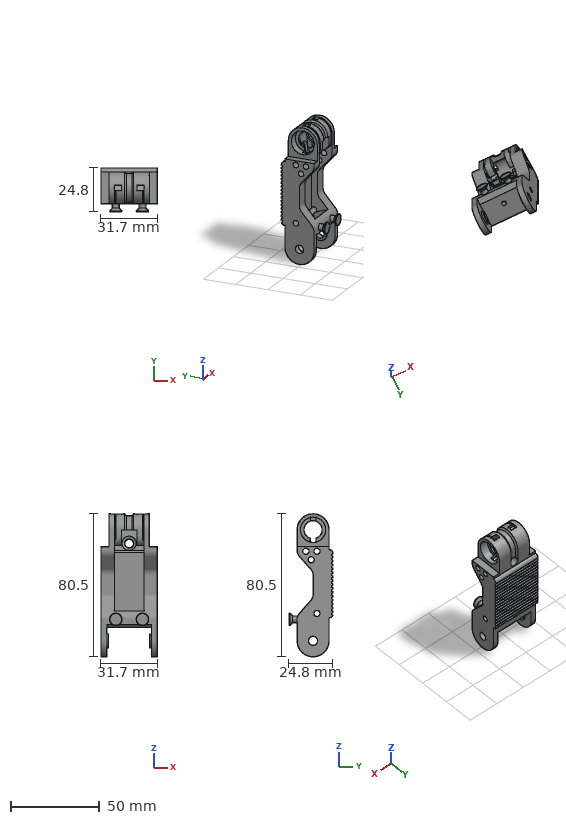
import cadquery as cq
import math

total_height = 80.5
end_radius = 9.0
body_half_width = 15.85
lower_axis_z = end_radius
upper_axis_z = total_height - end_radius
over = 1.6

waist_y = 0.0
lower_slope_z = (22.95, 33.25)
upper_slope_z = (47.8, 57.9)
outline_fillet = 5.0

pad_y = 11.3
pad_bottom_z = 21.9
pad_top_z = 60.4
pad_fillet = pad_y - end_radius
notch_count = 16
notch_diameter = 1.5
lowest_notch_z = 24.2
highest_notch_z = 57.2

knuckle_half_width = 11.35
shoulder_z = 62.0
bore_diameter = 10.1
counterbore_diameter = 14.2
key_width = 3.05
counterbore_floor_x = 6.0
rope_groove_half_width = 2.6
rope_groove_floor_half = 1.6
rope_groove_depth = 1.05
wire_groove_depth = 0.5

pocket_half_width = 8.4
pocket_back_y = 3.7
pocket_floor_front = (-6.4, 25.9)
pocket_floor_back = (1.2, 23.0)
pocket_corner_z = 25.1
ramp_bottom_z = 59.2
ramp_top_y = bore_diameter / 2
ramp_top_z = 70.9
block_bottom_z = 62.55
block_fillet = 5.0
mouth_half_width = 4.4

cord_hole_z = 63.9
cord_hole_diameter = 5.0
countersink_diameter = 8.0
countersink_depth = 0.65

fork_half_gap = 12.5
web_front_z = 18.1
web_back_z = 16.4
web_front_run = 3.3
pivot_hole_diameter = 5.0
boss_diameter = 8.0
boss_height = 1.0

pin_hole_diameter = 3.3
upper_pin_holes = [(2.2, 59.4), (-4.0, 59.4), (-1.05, 54.6)]
lower_pin_hole = (2.2, 24.4)
floor_hole_diameter = 2.65
floor_hole_y = -0.25

stud_x = 7.5
stud_z = 21.1
stud_diameter = 4.0
stud_head_diameter = 7.1
stud_neck_y = -11.4
stud_rim_y = -13.0
stud_end_y = -13.45
stud_rim_inset = 0.25


def extrude_x(sketch, half_width):
    """Extrude a closed YZ sketch evenly to both sides of x = 0."""
    return sketch.extrude(half_width, both=True)


def rod_x(y, z, diameter, x_start, x_end):
    plane = cq.Workplane("YZ", origin=(x_start, 0, 0))
    return plane.center(y, z).circle(diameter / 2).extrude(x_end - x_start)


def box_between(x_range, y_range, z_range):
    size = [b - a for a, b in (x_range, y_range, z_range)]
    corner = (x_range[0], y_range[0], z_range[0])
    return cq.Workplane("XY").box(*size, centered=False).translate(corner)


def mirrored(shape):
    return shape.union(shape.mirror("YZ"))


def make_body():
    front = -end_radius
    outline = (
        cq.Workplane("YZ")
        .moveTo(front, lower_axis_z)
        .lineTo(front, lower_slope_z[0])
        .lineTo(waist_y, lower_slope_z[1])
        .lineTo(waist_y, upper_slope_z[0])
        .lineTo(front, upper_slope_z[1])
        .lineTo(front, upper_axis_z)
        .threePointArc((0, total_height), (end_radius, upper_axis_z))
        .lineTo(end_radius, lower_axis_z)
        .threePointArc((0, 0), (front, lower_axis_z))
        .close()
    )
    body = extrude_x(outline, body_half_width)
    corners = [
        (front, lower_slope_z[0]),
        (waist_y, lower_slope_z[1]),
        (waist_y, upper_slope_z[0]),
        (front, upper_slope_z[1]),
    ]
    for y, z in corners:
        corner_edge = cq.selectors.NearestToPointSelector((0, y, z))
        body = body.edges(corner_edge).fillet(outline_fillet)
    shoulder = box_between(
        (knuckle_half_width, body_half_width + over),
        (front - over, end_radius + over),
        (shoulder_z, total_height + over),
    )
    return body.cut(mirrored(shoulder))


def make_grip_pad():
    pad = box_between(
        (-body_half_width, body_half_width),
        (end_radius - over, pad_y),
        (pad_bottom_z, pad_top_z),
    )
    pad = pad.edges("|X and >Y").fillet(pad_fillet)
    notch_pitch = (highest_notch_z - lowest_notch_z) / (notch_count - 1)
    for i in range(notch_count):
        notch_z = lowest_notch_z + i * notch_pitch
        pad = pad.cut(rod_x(pad_y, notch_z, notch_diameter, -body_half_width, body_half_width))
    return pad


def make_fork_gap():
    y_outer = end_radius + over
    web_slope = (web_front_z - web_back_z) / web_front_run
    gap = (
        cq.Workplane("YZ")
        .moveTo(-y_outer, -over)
        .lineTo(-y_outer, web_front_z + web_slope * over)
        .lineTo(web_front_run - end_radius, web_back_z)
        .lineTo(y_outer, web_back_z)
        .lineTo(y_outer, -over)
        .close()
    )
    return extrude_x(gap, fork_half_gap)


def ramp_y(z):
    """Y of the leaning ramp face above the pocket back wall."""
    share = (z - ramp_bottom_z) / (ramp_top_z - ramp_bottom_z)
    return pocket_back_y + share * (ramp_top_y - pocket_back_y)


def make_pocket():
    y_outer = -end_radius - over
    floor_front_y, floor_front_z = pocket_floor_front
    floor_back_y, floor_back_z = pocket_floor_back
    floor_slope = (floor_back_z - floor_front_z) / (floor_back_y - floor_front_y)
    floor_outer_z = floor_front_z + floor_slope * (y_outer - floor_front_y)
    block_corner_z = block_bottom_z + block_fillet
    arc_shift = block_fillet * (1 - math.sqrt(0.5))
    between_cheeks = (
        cq.Workplane("YZ")
        .moveTo(y_outer, floor_outer_z)
        .lineTo(*pocket_floor_back)
        .lineTo(pocket_back_y, pocket_corner_z)
        .lineTo(pocket_back_y, ramp_bottom_z)
        .lineTo(ramp_y(block_bottom_z), block_bottom_z)
        .lineTo(block_fillet - end_radius, block_bottom_z)
        .threePointArc((arc_shift - end_radius, block_bottom_z + arc_shift), (-end_radius, block_corner_z))
        .lineTo(y_outer, block_corner_z)
        .close()
    )
    mouth = (
        cq.Workplane("YZ")
        .moveTo(y_outer, shoulder_z)
        .lineTo(ramp_y(shoulder_z), shoulder_z)
        .lineTo(ramp_top_y, ramp_top_z)
        .lineTo(ramp_top_y, upper_axis_z)
        .lineTo(y_outer, upper_axis_z)
        .close()
    )
    return extrude_x(between_cheeks, pocket_half_width).union(extrude_x(mouth, mouth_half_width))


def make_knuckle_bore():
    bore = rod_x(0, upper_axis_z, bore_diameter, -body_half_width, body_half_width)
    counterbore = rod_x(0, upper_axis_z, counterbore_diameter, counterbore_floor_x, body_half_width)
    keyway = box_between(
        (mouth_half_width, pocket_half_width),
        (-key_width / 2, key_width / 2),
        (shoulder_z, total_height + over),
    )
    return bore.union(mirrored(counterbore.union(keyway)))


def groove_around_knuckle(profile, y_side, z_end):
    """Turn an (x, radius) profile a quarter about the knuckle axis, then run it straight down.

    y_side is -1 for the front of the knuckle and 1 for the back.
    """
    section = cq.Workplane("XZ", origin=(0, 0, upper_axis_z)).polyline(profile).close()
    quarter = section.revolve(90, (0, 0, 0), (-y_side, 0, 0))
    flat_profile = [(x, y_side * radius) for x, radius in profile]
    straight = (
        cq.Workplane("XY", origin=(0, 0, z_end))
        .polyline(flat_profile)
        .close()
        .extrude(upper_axis_z - z_end)
    )
    return quarter.union(straight)


def make_rope_groove():
    floor_radius = end_radius - rope_groove_depth
    outer_radius = end_radius + over
    profile = [
        (-rope_groove_half_width, outer_radius),
        (-rope_groove_half_width, end_radius),
        (-rope_groove_floor_half, floor_radius),
        (rope_groove_floor_half, floor_radius),
        (rope_groove_half_width, end_radius),
        (rope_groove_half_width, outer_radius),
    ]
    front = groove_around_knuckle(profile, -1, upper_axis_z - over)
    back = groove_around_knuckle(profile, 1, cord_hole_z)
    return front.union(back)


def make_wire_grooves():
    tip_x = pocket_half_width - wire_groove_depth
    profile = [
        (pocket_half_width, end_radius),
        (tip_x, end_radius - wire_groove_depth),
        (tip_x - wire_groove_depth, end_radius),
    ]
    return mirrored(groove_around_knuckle(profile, -1, block_bottom_z))


def make_cord_hole():
    """Hole square to the ramp face, countersunk at the front."""
    hole_radius = cord_hole_diameter / 2
    sink_radius = countersink_diameter / 2
    front_y = ramp_y(cord_hole_z)
    lean = math.degrees(math.atan2(ramp_top_y - pocket_back_y, ramp_top_z - ramp_bottom_z))
    length = end_radius - front_y
    half_section = [
        (0, -over),
        (sink_radius, -over),
        (sink_radius, 0),
        (hole_radius, countersink_depth),
        (hole_radius, length + over),
        (0, length + over),
    ]
    hole = cq.Workplane("XY").polyline(half_section).close().revolve(360, (0, 0, 0), (0, 1, 0))
    return hole.rotate((0, 0, 0), (1, 0, 0), -lean).translate((0, front_y, cord_hole_z))


def make_studs():
    shank_radius = stud_diameter / 2
    head_radius = stud_head_diameter / 2
    half_section = [
        (0, -end_radius + over),
        (shank_radius, -end_radius + over),
        (shank_radius, stud_neck_y),
        (head_radius, stud_rim_y),
        (head_radius - stud_rim_inset, stud_end_y),
        (0, stud_end_y),
    ]
    section = cq.Workplane("XY", origin=(0, 0, stud_z)).polyline(half_section).close()
    stud = section.revolve(360, (0, 0, 0), (0, 1, 0)).translate((stud_x, 0, 0))
    return mirrored(stud)


def make_fork_bosses():
    boss = rod_x(0, lower_axis_z, boss_diameter, fork_half_gap - boss_height, fork_half_gap)
    return mirrored(boss)


def make_cross_holes():
    holes = rod_x(0, lower_axis_z, pivot_hole_diameter, -body_half_width, body_half_width)
    for y, z in upper_pin_holes + [lower_pin_hole]:
        holes = holes.union(rod_x(y, z, pin_hole_diameter, -body_half_width, body_half_width))
    return holes


def make_floor_hole():
    plane = cq.Workplane("XY", origin=(0, floor_hole_y, web_back_z))
    return plane.circle(floor_hole_diameter / 2).extrude(lower_pin_hole[1] - web_back_z)


result = (
    make_body()
    .union(make_grip_pad())
    .cut(make_fork_gap())
    .union(make_fork_bosses())
    .cut(make_pocket())
    .cut(make_knuckle_bore())
    .cut(make_rope_groove())
    .cut(make_wire_grooves())
    .cut(make_cord_hole())
    .cut(make_cross_holes())
    .cut(make_floor_hole())
    .union(make_studs())
)